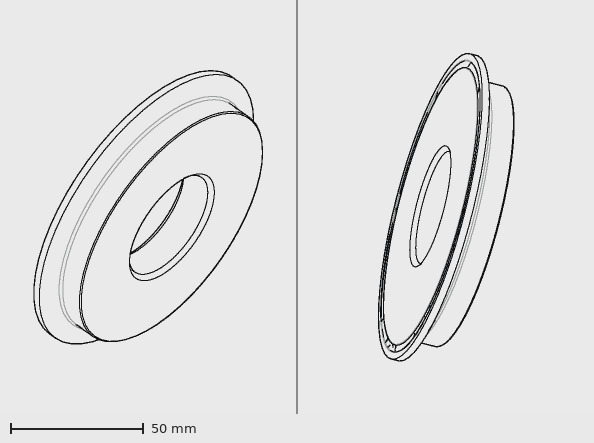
import cadquery as cq
import math

total_length = 15.9
rim_width = 2.9
end_chamfer = 0.5

flange_diameter = 118.9
hub_diameter = 101.5
bore_diameter = 43.6
bore_mouth_diameter = 47.1

cone_angle = math.radians(20)
blend_radius = 1.2

bore_taper_depth = 1.8

groove_mean_radius = 55.3
groove_width = 2.7
groove_depth = 1.0
groove_edge_radius = 0.4

flange_radius = flange_diameter / 2
hub_radius = hub_diameter / 2
bore_radius = bore_diameter / 2
bore_mouth_radius = bore_mouth_diameter / 2
full_turn = 360


def revolve_about_x(profile):
    """Revolve a profile drawn as (axial position, radius) about the X axis."""
    return profile.revolve(full_turn, (0, 0, 0), (1, 0, 0))


def make_body():
    """Flange rim, conical back, blend and hub, with the bore tapered open at both ends."""
    blend_start_radius = hub_radius + blend_radius * (1 - math.sin(cone_angle))
    blend_start_x = rim_width + (flange_radius - blend_start_radius) * math.tan(cone_angle)
    blend_center_x = blend_start_x + blend_radius * math.cos(cone_angle)
    blend_center_radius = hub_radius + blend_radius
    blend_mid_angle = (cone_angle + math.pi / 2) / 2
    blend_middle = (
        blend_center_x - blend_radius * math.cos(blend_mid_angle),
        blend_center_radius - blend_radius * math.sin(blend_mid_angle),
    )
    profile = (
        cq.Workplane("XY")
        .moveTo(0, bore_mouth_radius)
        .lineTo(0, flange_radius)
        .lineTo(rim_width, flange_radius)
        .lineTo(blend_start_x, blend_start_radius)
        .threePointArc(blend_middle, (blend_center_x, hub_radius))
        .lineTo(total_length - end_chamfer, hub_radius)
        .lineTo(total_length, hub_radius - end_chamfer)
        .lineTo(total_length, bore_mouth_radius)
        .lineTo(total_length - bore_taper_depth, bore_radius)
        .lineTo(bore_taper_depth, bore_radius)
        .close()
    )
    return revolve_about_x(profile)


def make_groove():
    """Round-bottomed ring that cuts the gasket groove."""
    profile = (
        cq.Workplane("XY")
        .moveTo(0, groove_mean_radius - groove_width / 2)
        .threePointArc(
            (groove_depth, groove_mean_radius),
            (0, groove_mean_radius + groove_width / 2),
        )
        .close()
    )
    return revolve_about_x(profile)


def round_groove_rims(body):
    """Round the two circular edges where the groove meets the flat face."""
    inner_limit = groove_mean_radius - groove_width
    outer_limit = groove_mean_radius + groove_width
    rims = body.faces("<X").edges().filter(lambda edge: inner_limit < edge.radius() < outer_limit)
    return rims.fillet(groove_edge_radius)


result = round_groove_rims(make_body().cut(make_groove()))